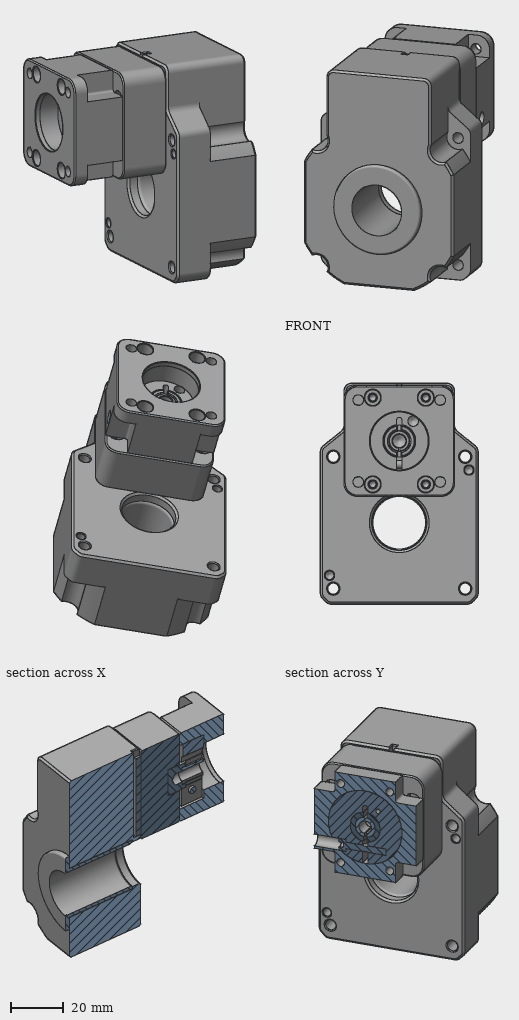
import cadquery as cq
import math


HOUSING_HALF_WIDTH = 30.0
HOUSING_BOTTOM = -31.0
HOUSING_TOP = 53.0
HOUSING_DEPTH = 34.0
PLATE_DEPTH = 14.0
EAR_OUTER_Z = 28.3
EAR_INNER_Z = 35.5
OUTLINE_RADIUS = 3.0
FOOT_CHAMFER = 3.0
EDGE_CHAMFER = 0.8
LOBE_RADIUS = 34.0
MOUNT_OFFSET = 25.0
MOUNT_HOLE = 4.2
MOUNT_CHAMFER = 0.4
SCOOP_RADIUS = 4.5
DOWEL_X = 26.5
DOWEL_Z = 20.0
DOWEL_HOLE = 3.3
DOWEL_CHAMFER = 0.3
DOWEL_DEPTH = 6.7
CENTRE_HOLE = 21.0
WINDOW_WIDTH = 1.85
WINDOW_LENGTH = 3.45
WINDOW_CHAMFER = 0.4

TABLE_DIAMETER = 35.0
TABLE_THICKNESS = 2.0
TABLE_ROUNDING = 0.8
TABLE_BORE = 20.0
TUBE_DIAMETER = 23.0
TUBE_RECESS = 4.0
TUBE_ROUNDING = 1.4

INPUT_AXIS_Z = 31.0
SQUARE = 42.0
SQUARE_CORNER = 5.0
SQUARE_CHAMFER = 0.5
GEARBOX_LENGTH = 18.5
FLANGE_LENGTH = 21.0
LIP_LENGTH = 5.6
NOTCH_SIZE = 8.5
NOTCH_FILLET = 0.9
MOTOR_HOLE_OFFSET = 15.5
MOTOR_HOLE = 4.0
BOLT_X = 10.1
BOLT_Z = 16.5
BOLT_COUNTERBORE = 6.0
BOLT_COUNTERBORE_DEPTH = 5.0
BOLT_CLEARANCE = 3.0
BOLT_TAP = 2.5
BOLT_TAP_DEPTH = 7.6
HOLE_CHAMFER = 0.25
FIXING_X = 16.6
FIXING_Z = 10.6
FIXING_RECESS = 6.5
FIXING_DEPTH = 5.0
PILOT_BORE = 22.2
PILOT_DEPTH = 2.0
FLANGE_BORE = 22.0

HUB_DIAMETER = 30.0
HUB_RECESS = 9.7
HUB_LENGTH = 9.8
HUB_SLOT = 2.0
HUB_SLOT_TOP = 9.0
BALANCE_X = 5.3
BALANCE_Z = 7.6
BALANCE_HOLE = 4.0
BALANCE_DEPTH = 3.4
SHAFT_DIAMETER = 12.0
SHAFT_LENGTH = 16.8
SHAFT_CHAMFER = 0.3
SHAFT_BORE = 8.0
SHAFT_BORE_CHAMFER = 0.5
SHAFT_SLIT = 1.35
SHAFT_SLIT_CHAMFER = 0.3
SHAFT_SLIT_DEPTH = 8.4
BUSHING_LENGTH = 10.1
BUSHING_BORE = 5.0
BUSHING_SLIT = 0.5
SHAFT_DRILL_DEPTH = 3.4
SCREW_DROP = 9.0
SCREW_DEPTH = 14.6
SCREW_HEAD = 5.0
SCREW_HEAD_LENGTH = 3.0
SCREW_SHANK = 3.0
SCREW_HEAD_X = -10.9
SCREW_TIP_X = 8.4
SOCKET = 2.5
SOCKET_DEPTH = 1.7

ROTOR_DIAMETER = 37.0
ROTOR_LENGTH = 2.5

DRILL_POINT_ANGLE = 118
CHAMFER_TAPER = 45
DRILL_HALF_ANGLE = math.radians(DRILL_POINT_ANGLE / 2)
GEARBOX_FRONT = -GEARBOX_LENGTH
FLANGE_FRONT = GEARBOX_FRONT - FLANGE_LENGTH
HUB_FRONT = FLANGE_FRONT + HUB_RECESS
HUB_BACK = HUB_FRONT + HUB_LENGTH
SCREW_Y = FLANGE_FRONT + SCREW_DEPTH
SCREW_Z = INPUT_AXIS_Z - SCREW_DROP
ALONG_X = cq.Vector(1, 0, 0)
ALONG_Y = cq.Vector(0, 1, 0)
ALONG_Z = cq.Vector(0, 0, 1)


def box(x_min, x_max, y_min, y_max, z_min, z_max):
    return cq.Workplane("XY").box(
        x_max - x_min, y_max - y_min, z_max - z_min, centered=False
    ).translate((x_min, y_min, z_min))


def rod(diameter, y_start, y_end, x=0.0, z=0.0):
    """Cylinder along Y."""
    start = cq.Vector(x, y_start, z)
    return cq.Workplane(cq.Solid.makeCylinder(diameter / 2, y_end - y_start, start, ALONG_Y))


def cone(diameter_start, diameter_end, start, length, direction):
    solid = cq.Solid.makeCone(diameter_start / 2, diameter_end / 2, length, start, direction)
    return cq.Workplane(solid)


def countersink(diameter, chamfer, y, x=0.0, z=0.0):
    """Cutter for the chamfered mouth of a hole that opens toward -Y."""
    return cone(diameter + 2 * chamfer, diameter, cq.Vector(x, y, z), chamfer, ALONG_Y)


def drill(diameter, start, depth, direction):
    """Blind drilled hole with a conical bottom."""
    hole = cq.Workplane(cq.Solid.makeCylinder(diameter / 2, depth, start, direction))
    tip_length = diameter / 2 / math.tan(DRILL_HALF_ANGLE)
    return hole.union(cone(diameter, 0, start + direction * depth, tip_length, direction))


def four_corners(x, z):
    return [(sx * x, sz * z) for sx in (-1, 1) for sz in (-1, 1)]


def input_corners(x, z):
    return [(px, INPUT_AXIS_Z + pz) for px, pz in four_corners(x, z)]


def square_block(y_start, length):
    block = cq.Workplane("XZ", origin=(0, y_start, INPUT_AXIS_Z)).rect(SQUARE, SQUARE).extrude(-length)
    return block.edges("|Y").fillet(SQUARE_CORNER)


def front_plate():
    half_top = SQUARE / 2
    right_side = [
        (HOUSING_HALF_WIDTH - FOOT_CHAMFER, HOUSING_BOTTOM),
        (HOUSING_HALF_WIDTH, HOUSING_BOTTOM + FOOT_CHAMFER),
        (HOUSING_HALF_WIDTH, EAR_OUTER_Z),
        (half_top, EAR_INNER_Z),
        (half_top, HOUSING_TOP),
    ]
    left_side = [(-x, z) for x, z in reversed(right_side)]
    plate = cq.Workplane("XZ").polyline(right_side + left_side).close().extrude(-PLATE_DEPTH)
    return plate.edges("|Y").fillet(OUTLINE_RADIUS).faces("<Y").chamfer(EDGE_CHAMFER)


def rear_block():
    half_top = SQUARE / 2
    lobes = box(
        -HOUSING_HALF_WIDTH, HOUSING_HALF_WIDTH, PLATE_DEPTH, HOUSING_DEPTH, HOUSING_BOTTOM, -HOUSING_BOTTOM
    )
    lobes = lobes.intersect(rod(2 * LOBE_RADIUS, PLATE_DEPTH, HOUSING_DEPTH))
    head = box(-half_top, half_top, PLATE_DEPTH, HOUSING_DEPTH, 0, HOUSING_TOP)
    head = head.edges("|Y and >Z").fillet(OUTLINE_RADIUS)
    block = lobes.union(head)
    for x, z in four_corners(MOUNT_OFFSET, MOUNT_OFFSET):
        block = block.cut(rod(2 * SCOOP_RADIUS, PLATE_DEPTH, HOUSING_DEPTH, x, z))
    return block.faces(">Y").chamfer(EDGE_CHAMFER)


def top_window():
    """Opening from the top of the housing to the rotor, with a chamfered rim, open toward -Y."""
    half_width = WINDOW_WIDTH / 2
    opening = box(-half_width, half_width, 0, WINDOW_LENGTH, INPUT_AXIS_Z, HOUSING_TOP)
    rim = (
        cq.Workplane("XY", origin=(0, 0, HOUSING_TOP))
        .rect(WINDOW_WIDTH + 2 * WINDOW_CHAMFER, 2 * (WINDOW_LENGTH + WINDOW_CHAMFER))
        .extrude(-WINDOW_CHAMFER, taper=CHAMFER_TAPER)
    )
    return opening.union(rim)


def make_housing():
    body = front_plate().union(rear_block())
    body = body.cut(rod(CENTRE_HOLE, 0, TUBE_RECESS))
    body = body.cut(rod(TUBE_DIAMETER, TUBE_RECESS, HOUSING_DEPTH))
    body = body.cut(countersink(CENTRE_HOLE, EDGE_CHAMFER, 0))
    for x, z in four_corners(MOUNT_OFFSET, MOUNT_OFFSET):
        body = body.cut(rod(MOUNT_HOLE, 0, PLATE_DEPTH, x, z))
        body = body.cut(countersink(MOUNT_HOLE, MOUNT_CHAMFER, 0, x, z))
    for side in (-1, 1):
        x = side * DOWEL_X
        z = side * DOWEL_Z
        body = body.cut(drill(DOWEL_HOLE, cq.Vector(x, 0, z), DOWEL_DEPTH, ALONG_Y))
        body = body.cut(countersink(DOWEL_HOLE, DOWEL_CHAMFER, 0, x, z))
    body = body.cut(rod(ROTOR_DIAMETER, 0, WINDOW_LENGTH, 0, INPUT_AXIS_Z))
    return body.cut(top_window())


def make_table():
    disc = rod(TABLE_DIAMETER, HOUSING_DEPTH, HOUSING_DEPTH + TABLE_THICKNESS)
    disc = disc.faces(">Y").edges().fillet(TABLE_ROUNDING)
    tube = rod(TUBE_DIAMETER, TUBE_RECESS, HOUSING_DEPTH)
    bore = rod(TABLE_BORE, TUBE_RECESS, HOUSING_DEPTH + TABLE_THICKNESS)
    table = disc.union(tube).cut(bore)
    inner_edge = table.faces("<Y").edges(cq.selectors.RadiusNthSelector(0))
    return inner_edge.fillet(TUBE_ROUNDING)


def make_gearbox():
    body = square_block(GEARBOX_FRONT, GEARBOX_LENGTH)
    body = body.faces("<Y or >Y").chamfer(SQUARE_CHAMFER)
    for x, z in input_corners(BOLT_X, BOLT_Z):
        body = body.cut(drill(BOLT_TAP, cq.Vector(x, GEARBOX_FRONT, z), BOLT_TAP_DEPTH, ALONG_Y))
    for x, z in input_corners(FIXING_X, FIXING_Z):
        body = body.cut(rod(FIXING_RECESS, GEARBOX_FRONT, GEARBOX_FRONT + FIXING_DEPTH, x, z))
    return body.cut(rod(SHAFT_DIAMETER, GEARBOX_FRONT, HUB_FRONT + SHAFT_LENGTH, 0, INPUT_AXIS_Z))


def corner_notch(x_side, z_side):
    """Cutter for one square corner behind the flange's lip, rounded along its inner edge."""
    half = SQUARE / 2
    notch = box(-half, half, FLANGE_FRONT + LIP_LENGTH, GEARBOX_FRONT, -half, half)
    shift = 2 * half - NOTCH_SIZE
    notch = notch.edges("|Y").fillet(NOTCH_FILLET)
    return notch.translate((x_side * shift, 0, INPUT_AXIS_Z + z_side * shift))


def make_flange():
    body = square_block(FLANGE_FRONT, FLANGE_LENGTH)
    body = body.faces("<Y or >Y").chamfer(SQUARE_CHAMFER)
    for x_side, z_side in four_corners(1, 1):
        body = body.cut(corner_notch(x_side, z_side))
    for x, z in input_corners(MOTOR_HOLE_OFFSET, MOTOR_HOLE_OFFSET):
        body = body.cut(rod(MOTOR_HOLE, FLANGE_FRONT, FLANGE_FRONT + LIP_LENGTH, x, z))
    seat = FLANGE_FRONT + BOLT_COUNTERBORE_DEPTH
    for x, z in input_corners(BOLT_X, BOLT_Z):
        body = body.cut(rod(BOLT_COUNTERBORE, FLANGE_FRONT, seat, x, z))
        body = body.cut(countersink(BOLT_COUNTERBORE, HOLE_CHAMFER, FLANGE_FRONT, x, z))
        body = body.cut(rod(BOLT_CLEARANCE, seat, GEARBOX_FRONT, x, z))
        body = body.cut(countersink(BOLT_CLEARANCE, HOLE_CHAMFER, seat, x, z))
    body = body.cut(rod(FLANGE_BORE, FLANGE_FRONT, HUB_FRONT, 0, INPUT_AXIS_Z))
    body = body.cut(rod(PILOT_BORE, FLANGE_FRONT, FLANGE_FRONT + PILOT_DEPTH, 0, INPUT_AXIS_Z))
    body = body.cut(countersink(PILOT_BORE, HOLE_CHAMFER, FLANGE_FRONT, 0, INPUT_AXIS_Z))
    body = body.cut(rod(HUB_DIAMETER, HUB_FRONT, GEARBOX_FRONT, 0, INPUT_AXIS_Z))
    access_start = cq.Vector(-SQUARE / 2, SCREW_Y, SCREW_Z)
    access = cq.Solid.makeCylinder(SCREW_HEAD / 2, SQUARE / 2, access_start, ALONG_X)
    return body.cut(cq.Workplane(access))


def screw_blank():
    """Head and shank without the socket, also the shape of the hole that takes the screw."""
    head_start = cq.Vector(SCREW_HEAD_X, SCREW_Y, SCREW_Z)
    head = cq.Solid.makeCylinder(SCREW_HEAD / 2, SCREW_HEAD_LENGTH, head_start, ALONG_X)
    shank = cq.Solid.makeCylinder(SCREW_SHANK / 2, SCREW_TIP_X - SCREW_HEAD_X, head_start, ALONG_X)
    return cq.Workplane(head).union(cq.Workplane(shank))


def make_clamp_screw():
    head_start = cq.Vector(SCREW_HEAD_X, SCREW_Y, SCREW_Z)
    socket = drill(SOCKET, head_start, SOCKET_DEPTH, ALONG_X)
    mouth = cone(SOCKET + 2 * HOLE_CHAMFER, SOCKET, head_start, HOLE_CHAMFER, ALONG_X)
    return screw_blank().cut(socket).cut(mouth)


def make_hub():
    hub = rod(HUB_DIAMETER, HUB_FRONT, HUB_BACK, 0, INPUT_AXIS_Z)
    hub = hub.cut(rod(SHAFT_DIAMETER, HUB_FRONT, HUB_BACK, 0, INPUT_AXIS_Z))
    hub = hub.cut(countersink(SHAFT_DIAMETER, HOLE_CHAMFER, HUB_FRONT, 0, INPUT_AXIS_Z))
    slot_end = INPUT_AXIS_Z + HUB_SLOT_TOP - HUB_SLOT / 2
    slot = box(-HUB_SLOT / 2, HUB_SLOT / 2, HUB_FRONT, HUB_BACK, INPUT_AXIS_Z - HUB_DIAMETER / 2, slot_end)
    slot = slot.union(rod(HUB_SLOT, HUB_FRONT, HUB_BACK, 0, slot_end))
    hub = hub.cut(slot)
    balance_start = cq.Vector(BALANCE_X, HUB_FRONT, INPUT_AXIS_Z + BALANCE_Z)
    hub = hub.cut(drill(BALANCE_HOLE, balance_start, BALANCE_DEPTH, ALONG_Y))
    entry_length = HUB_DIAMETER / 2
    entry_start = cq.Vector(SCREW_HEAD_X - entry_length, SCREW_Y, SCREW_Z)
    head_entry = cq.Solid.makeCylinder(SCREW_HEAD / 2, entry_length, entry_start, ALONG_X)
    return hub.cut(screw_blank()).cut(cq.Workplane(head_entry))


def make_shaft():
    shaft = rod(SHAFT_DIAMETER, HUB_FRONT, HUB_FRONT + SHAFT_LENGTH, 0, INPUT_AXIS_Z)
    shaft = shaft.faces("<Y").edges().chamfer(SHAFT_CHAMFER)
    bore_end = HUB_FRONT + BUSHING_LENGTH
    shaft = shaft.cut(rod(SHAFT_BORE, HUB_FRONT, bore_end, 0, INPUT_AXIS_Z))
    shaft = shaft.cut(countersink(SHAFT_BORE, SHAFT_BORE_CHAMFER, HUB_FRONT, 0, INPUT_AXIS_Z))
    drill_start = cq.Vector(0, bore_end, INPUT_AXIS_Z)
    shaft = shaft.cut(drill(BUSHING_BORE, drill_start, SHAFT_DRILL_DEPTH, ALONG_Y))
    reach = SHAFT_DIAMETER / 2
    half_slit = SHAFT_SLIT / 2
    slit_end = HUB_FRONT + SHAFT_SLIT_DEPTH - half_slit
    slit = box(-half_slit, half_slit, HUB_FRONT, slit_end, INPUT_AXIS_Z - reach, INPUT_AXIS_Z + reach)
    round_start = cq.Vector(0, slit_end, INPUT_AXIS_Z - reach)
    round_end = cq.Solid.makeCylinder(half_slit, SHAFT_DIAMETER, round_start, ALONG_Z)
    mouth = (
        cq.Workplane("XZ", origin=(0, HUB_FRONT, INPUT_AXIS_Z))
        .rect(SHAFT_SLIT + 2 * SHAFT_SLIT_CHAMFER, 2 * SHAFT_DIAMETER)
        .extrude(-SHAFT_SLIT_CHAMFER, taper=CHAMFER_TAPER)
    )
    return shaft.cut(slit).cut(cq.Workplane(round_end)).cut(mouth)


def make_bushing():
    bushing = rod(SHAFT_BORE, HUB_FRONT, HUB_FRONT + BUSHING_LENGTH, 0, INPUT_AXIS_Z)
    bushing = bushing.faces("<Y").edges().chamfer(HOLE_CHAMFER)
    bushing = bushing.cut(rod(BUSHING_BORE, HUB_FRONT, HUB_FRONT + BUSHING_LENGTH, 0, INPUT_AXIS_Z))
    bushing = bushing.cut(countersink(BUSHING_BORE, HOLE_CHAMFER, HUB_FRONT, 0, INPUT_AXIS_Z))
    slit_bottom = INPUT_AXIS_Z - SHAFT_BORE / 2
    slit = box(
        -BUSHING_SLIT / 2, BUSHING_SLIT / 2, HUB_FRONT, HUB_FRONT + BUSHING_LENGTH, slit_bottom, INPUT_AXIS_Z
    )
    return bushing.cut(slit)


def make_rotor():
    return rod(ROTOR_DIAMETER, 0, ROTOR_LENGTH, 0, INPUT_AXIS_Z)


housing = make_housing()
table = make_table()
gearbox = make_gearbox()
flange = make_flange()
hub = make_hub()
shaft = make_shaft()
bushing = make_bushing()
clamp_screw = make_clamp_screw()
rotor = make_rotor()

result = cq.Compound.makeCompound(
    [
        housing.val(),
        table.val(),
        gearbox.val(),
        flange.val(),
        hub.val(),
        shaft.val(),
        bushing.val(),
        clamp_screw.val(),
        rotor.val(),
    ]
)